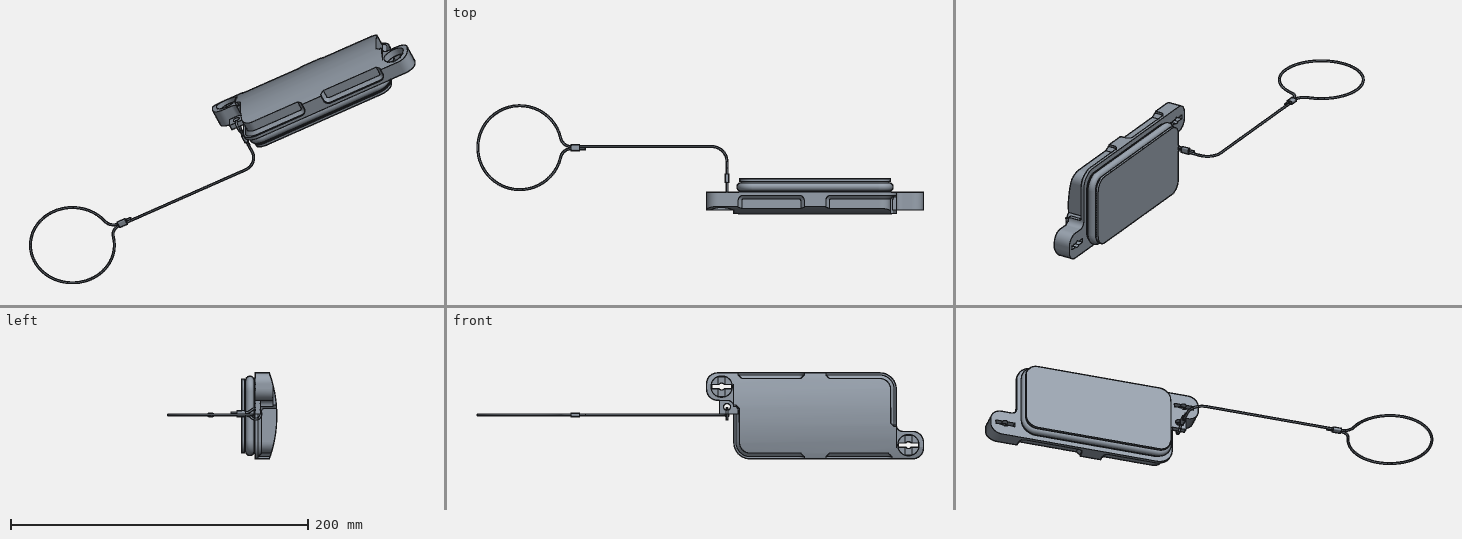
import cadquery as cq
import math


body_width = 109.5
body_height = 58.0
corner_radius = 11.0
dome_height = 14.7
dome_edge = 9.5
half_width = body_width / 2
half_height = body_height / 2

gasket_inset = 2.7
gasket_top = 0.5
band_width = 105.3
band_height = 53.5
band_radius = 10.0
band_top = 6.3
band_rim = 6.0
plate_inset = 1.8
neck_inset = 2.7
neck_top = 7.2
plate_top = 9.0
back_overlap = 0.5

ear_reach = 73.0
ear_height = 18.7
ear_corner = 7.5
ear_thickness = 12.0
ear_fillet = 4.2
ear_z = half_height - ear_height / 2
eyelet_x = 63.0
recess_radius = 7.2
recess_floor = 7.2
slot_length = 13.2
slot_width = 2.7
cross_width = 4.8
cross_floor = 3.5
eyelet_radius = 2.25

grip_rim = 1.5
grip_depth = 4.0
grip_back = 2.0
grip_gap = 7.2
grip_end = 51.8
grip_rounding = 3.5

tab_left = 64.5
tab_bottom = 1.2
tab_top = 11.7
tab_thickness = 3.5
tab_hole_x = 59.3
tab_hole_z = 6.0
tab_hole_radius = 2.25

cord_radius = 0.65
cord_gap = 0.75
cord_z = 0.5
cord_y = 30.7
bend_radius = 10.2
sleeve_length = 5.7
sleeve_width = 4.2
sleeve_thickness = 2.5
sleeve_rounding = 1.0
tail_length = 4.0
wrist_tip = 227.8
wrist_radius = 28.3
wrist_neck = 34.5
eye_radius = 3.5
eye_neck = 7.0
eye_press = 0.3

through = 60.2


def slab(width, height, radius, y_start, y_end):
    """Rounded rectangle centred on the Y axis, between two heights."""
    return (
        cq.Workplane("XZ", origin=(0, y_end, 0))
        .rect(width, height)
        .extrude(y_end - y_start)
        .edges("|Y")
        .fillet(radius)
    )


def dome_prism():
    """Everything behind the domed front."""
    return (
        cq.Workplane("YZ", origin=(-ear_reach, 0, 0))
        .moveTo(0, -half_height)
        .lineTo(-dome_edge, -half_height)
        .threePointArc((-dome_height, 0), (-dome_edge, half_height))
        .lineTo(0, half_height)
        .close()
        .extrude(2 * ear_reach)
    )


def half_turn(shape):
    return shape.rotate((0, 0, 0), (0, 1, 0), 180)


def both_ends(shape):
    return shape.union(half_turn(shape))


def case_body():
    block = cq.Workplane("XZ").rect(body_width, body_height).extrude(dome_height)
    block = block.edges("|Y and ((>X and >Z) or (<X and <Z))").fillet(corner_radius)
    return block.intersect(dome_prism())


def right_ear():
    """Ear at the lower right, blended into the side of the case."""
    ear_top = ear_height - half_height
    root = half_width - corner_radius
    corner_x = ear_reach - ear_corner
    ear = (
        cq.Workplane("XZ")
        .moveTo(root, -half_height)
        .lineTo(corner_x, -half_height)
        .radiusArc((ear_reach, ear_corner - half_height), -ear_corner)
        .lineTo(ear_reach, ear_top - ear_corner)
        .radiusArc((corner_x, ear_top), -ear_corner)
        .lineTo(half_width + ear_fillet, ear_top)
        .radiusArc((half_width, ear_top + ear_fillet), ear_fillet)
        .lineTo(root, ear_top + ear_fillet)
        .close()
        .extrude(ear_thickness)
    )
    return ear.intersect(dome_prism())


def ear_opening():
    """Round recess outside the case, with a cross at its floor and a slot right through."""
    origin = (eyelet_x, 0, -ear_z)
    floor = cq.Workplane("XZ", origin=origin).workplane(offset=recess_floor)
    recess = floor.circle(recess_radius).extrude(through)
    cross = (
        cq.Workplane("XZ", origin=origin)
        .workplane(offset=cross_floor)
        .rect(cross_width, slot_length)
        .extrude(through)
    )
    slot = cq.Workplane("XZ", origin=origin).rect(slot_length, slot_width).extrude(through)
    eyelet = cq.Workplane("XZ", origin=origin).circle(eyelet_radius).extrude(through)
    return recess.union(cross).union(slot).union(eyelet)


def straight_grip(length):
    """Grip cutter along +X from the origin, with its rim at z = 0 and its floor below."""
    rim = (
        cq.Workplane("XY")
        .center(length / 2, -grip_back - dome_height / 2)
        .sketch()
        .rect(length, dome_height)
        .vertices(">Y")
        .fillet(grip_rounding)
        .finalize()
    )
    slope = rim.extrude(grip_rim - grip_depth, taper=45)
    return slope.union(rim.extrude(corner_radius))


def trim(shape, length):
    """Keep the part of a grip cutter between x = 0 and the given length."""
    size = 4 * half_width
    keep = cq.Workplane("XY").box(length, size, size).translate((length / 2, 0, 0))
    return shape.intersect(keep)


def corner_grip():
    """Grip that runs along the top edge, round the upper right corner and down the side."""
    corner_x = half_width - corner_radius
    corner_z = half_height - corner_radius
    spare = 2 * grip_rounding + grip_depth
    top_length = corner_x - grip_gap
    side_length = corner_z + grip_gap
    top = trim(straight_grip(top_length + spare), top_length)
    top = top.translate((grip_gap, 0, half_height - grip_rim))
    side = trim(straight_grip(side_length + spare), side_length)
    side = side.rotate((0, 0, 0), (0, 1, 0), -90).mirror("YZ")
    side = side.translate((half_width - grip_rim, 0, -grip_gap))
    rim_radius = corner_radius - grip_rim
    floor_radius = corner_radius - grip_depth
    slope = grip_depth - grip_rim
    bend = (
        cq.Workplane("XY")
        .polyline([
            (floor_radius, -dome_height),
            (floor_radius, -grip_back - slope),
            (rim_radius, -grip_back),
            (2 * corner_radius, -grip_back),
            (2 * corner_radius, -dome_height),
        ])
        .close()
        .revolve(90, (0, 0, 0), (0, -1, 0))
        .translate((corner_x, 0, corner_z))
    )
    return top.union(side).union(bend)


def edge_grip():
    """Grip along the top edge beside the left ear."""
    grip = straight_grip(grip_end - grip_gap)
    return grip.translate((-grip_end, 0, half_height - grip_rim))


def round_edged_band():
    """Rounded rectangle whose rim is a full half-round."""
    bulge = (band_top - gasket_top) / 2
    core = slab(
        band_width - 2 * bulge, band_height - 2 * bulge, band_radius - bulge, gasket_top, band_top
    )
    path = core.faces("<Y").wires()
    rim_x = band_width / 2 - bulge
    inner_x = band_width / 2 - band_rim
    rim = (
        cq.Workplane("XY")
        .moveTo(inner_x, gasket_top)
        .lineTo(rim_x, gasket_top)
        .threePointArc((band_width / 2, gasket_top + bulge), (rim_x, band_top))
        .lineTo(inner_x, band_top)
        .close()
        .sweep(path)
    )
    return core.union(rim)


def back_cover():
    neck_size = (band_width - 2 * neck_inset, band_height - 2 * neck_inset)
    plate_size = (band_width - 2 * plate_inset, band_height - 2 * plate_inset)
    gasket = slab(
        band_width - gasket_inset, band_height - gasket_inset, band_radius, -back_overlap, gasket_top
    )
    band = round_edged_band()
    neck = slab(*neck_size, band_radius - neck_inset, gasket_top, neck_top)
    plate = slab(*plate_size, band_radius - plate_inset, neck_top, plate_top)
    return gasket.union(band).union(neck).union(plate)


def cord_tab():
    width = tab_left - half_width + corner_radius
    height = tab_top - tab_bottom
    tab = cq.Workplane("XZ").rect(width, height).extrude(tab_thickness)
    tab = tab.translate((width / 2 - tab_left, 0, tab_bottom + height / 2))
    hole = cq.Workplane("XZ", origin=(-tab_hole_x, 0, tab_hole_z)).circle(tab_hole_radius)
    return tab.cut(hole.extrude(tab_thickness))


def noose(loop_radius, neck):
    """Closed loop of cord in the XY plane.

    The loop lies towards -X. Its two legs meet in a sleeve that starts at the origin: the upper
    leg ends in the sleeve, and the lower leg passes through it and ends in a short tail.
    """
    blend = (neck**2 + cord_gap**2 - loop_radius**2) / (2 * (loop_radius - cord_gap))
    rise = cord_gap + blend
    angle = math.atan2(rise, neck)
    meet = (loop_radius * math.cos(angle) - neck, loop_radius * math.sin(angle))
    half_way = (angle + math.pi / 2) / 2
    middle = (-blend * math.cos(half_way), rise - blend * math.sin(half_way))
    path = (
        cq.Workplane("XY")
        .moveTo(sleeve_length + tail_length, -cord_gap)
        .lineTo(0, -cord_gap)
        .threePointArc((middle[0], -middle[1]), (meet[0], -meet[1]))
        .threePointArc((-neck - loop_radius, 0), meet)
        .threePointArc(middle, (0, cord_gap))
        .lineTo(sleeve_length / 2, cord_gap)
    )
    start = cq.Workplane("YZ", origin=(sleeve_length + tail_length, -cord_gap, 0))
    cord = start.circle(cord_radius).sweep(path)
    sleeve = cq.Workplane("XY").box(sleeve_length, sleeve_width, sleeve_thickness)
    sleeve = sleeve.edges("|X").fillet(sleeve_rounding).translate((sleeve_length / 2, 0, 0))
    return cord.union(sleeve)


def placed(shape, plane):
    return cq.Workplane(shape.val().moved(cq.Location(plane)))


def lanyard():
    wrist_x = wrist_neck + wrist_radius + cord_radius - wrist_tip
    wrist_plane = cq.Plane((wrist_x, cord_y - cord_gap, cord_z), (1, 0, 0), (0, 0, 1))
    wrist_loop = placed(noose(wrist_radius, wrist_neck), wrist_plane)

    eye_y = eye_neck + eye_radius - cord_radius - tab_thickness + eye_press
    eye_plane = cq.Plane((-tab_hole_x, eye_y, cord_z + cord_gap), (0, 1, 0), (-1, 0, 0))
    eye = placed(noose(eye_radius, eye_neck), eye_plane)

    start_x = wrist_x + sleeve_length / 2
    diagonal = bend_radius * math.sqrt(0.5)
    bend_x = -tab_hole_x - bend_radius
    bend_y = cord_y - bend_radius
    path = (
        cq.Workplane("XY", origin=(0, 0, cord_z))
        .moveTo(start_x, cord_y)
        .lineTo(bend_x, cord_y)
        .threePointArc((bend_x + diagonal, bend_y + diagonal), (-tab_hole_x, bend_y))
        .lineTo(-tab_hole_x, eye_y + sleeve_length / 2)
    )
    start = cq.Workplane("YZ", origin=(start_x, cord_y, cord_z))
    cord = start.circle(cord_radius).sweep(path)
    return wrist_loop.union(cord).union(eye)


opening = ear_opening().cut(case_body())
ears = both_ends(right_ear().cut(opening))
case = case_body().cut(both_ends(corner_grip())).union(ears).cut(both_ends(edge_grip()))
result = case.union(back_cover()).union(cord_tab()).union(lanyard())